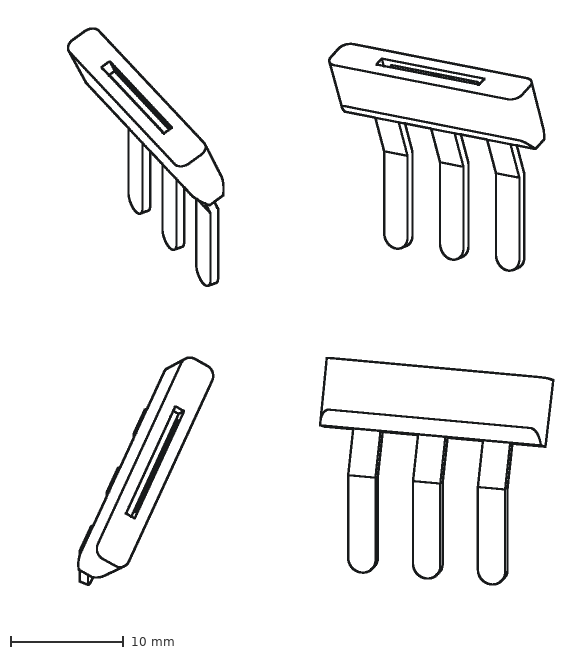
import cadquery as cq
import math

tilt = 22.0
housing_length = 20.6
housing_depth = 3.25
housing_height = 6.0
corner_radius = 0.97
draft = 0.5
bevel_height = 1.4
foot_depth = 1.52

slot_length = 11.05
slot_width = 0.9
slot_depth = 1.4
bead_length = 9.41
bead_radius = 0.16
bead_drop = 0.7

pin_count = 3
pin_pitch = 6.02
pin_width = 2.53
pin_thickness = 0.8
bend_height = 8.9
neck_length = 4.1
neck_offset = -0.029
neck_overlap = 0.2

lean = math.radians(tilt)
axis_y = -math.sin(lean)
axis_z = math.cos(lean)


def make_housing():
    """Upright housing, with the centre of its top face at the origin."""
    block = (
        cq.Workplane("XY")
        .sketch()
        .rect(housing_length, housing_depth)
        .vertices()
        .fillet(corner_radius)
        .finalize()
        .extrude(-housing_height, taper=draft)
    )
    bevel_rise = housing_height - bevel_height
    bevel_half_depth = housing_depth / 2 - bevel_rise * math.tan(math.radians(draft))
    envelope = (
        cq.Workplane("YZ")
        .polyline([
            (-housing_depth / 2, 0),
            (-bevel_half_depth, -bevel_rise),
            (-foot_depth / 2, -housing_height),
            (foot_depth / 2, -housing_height),
            (bevel_half_depth, -bevel_rise),
            (housing_depth / 2, 0),
        ])
        .close()
        .extrude(housing_length / 2, both=True)
    )
    return block.intersect(envelope)


def make_bead(wall_y):
    """Capsule centred on a slot wall; half of it stands proud of the wall."""
    straight_length = bead_length - 2 * bead_radius
    bead = cq.Workplane("YZ").circle(bead_radius).extrude(straight_length / 2, both=True)
    for side in (-1, 1):
        cap = cq.Workplane("XY").sphere(bead_radius).translate((side * straight_length / 2, 0, 0))
        bead = bead.union(cap)
    return bead.translate((0, wall_y, -bead_drop))


def make_slot():
    """Slot volume to remove, less the two wall beads."""
    slot = cq.Workplane("XY").rect(slot_length, slot_width).extrude(-slot_depth)
    for side in (-1, 1):
        slot = slot.cut(make_bead(side * slot_width / 2))
    return slot


def make_pin(x):
    """Pin standing on Z = 0 with its rear face on Y = 0."""
    buried_length = neck_length + neck_overlap
    miter_rise = pin_thickness / 2 * math.tan(lean / 2)
    end_y = -pin_thickness / 2 + buried_length * axis_y
    end_z = bend_height + buried_length * axis_z
    half_y = pin_thickness / 2 * axis_z
    half_z = -pin_thickness / 2 * axis_y
    strip = (
        cq.Workplane("YZ")
        .polyline([
            (-pin_thickness, 0),
            (-pin_thickness, bend_height - miter_rise),
            (end_y - half_y, end_z - half_z),
            (end_y + half_y, end_z + half_z),
            (0, bend_height + miter_rise),
            (0, 0),
        ])
        .close()
        .extrude(pin_width / 2, both=True)
    )
    tip_radius = pin_width / 2
    face = (
        cq.Workplane("XZ")
        .moveTo(-tip_radius, tip_radius)
        .threePointArc((0, 0), (tip_radius, tip_radius))
        .lineTo(tip_radius, end_z + pin_thickness)
        .lineTo(-tip_radius, end_z + pin_thickness)
        .close()
        .extrude(pin_thickness - end_y)
    )
    return strip.intersect(face).translate((x, 0, 0))


reach = neck_length + housing_height
top_y = -pin_thickness / 2 + reach * axis_y - neck_offset * axis_z
top_z = bend_height + reach * axis_z + neck_offset * axis_y

result = (
    make_housing()
    .cut(make_slot())
    .rotate((0, 0, 0), (1, 0, 0), tilt)
    .translate((0, top_y, top_z))
)
for index in range(pin_count):
    result = result.union(make_pin((index - (pin_count - 1) / 2) * pin_pitch))